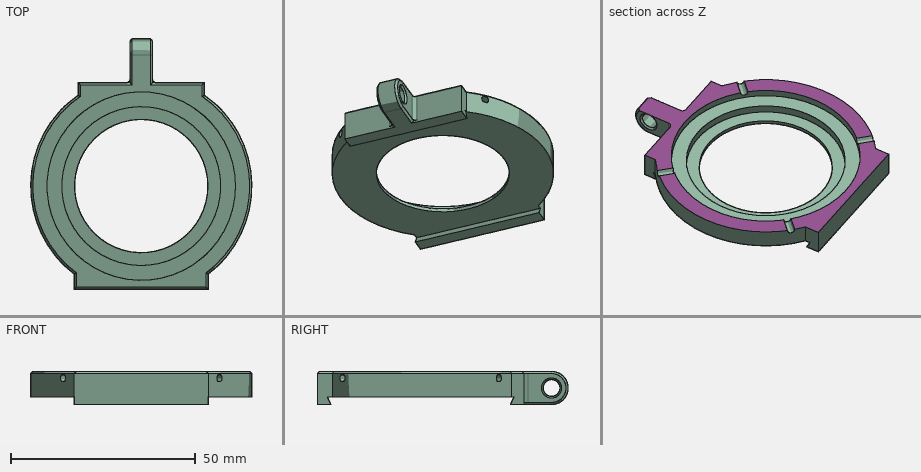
import cadquery as cq
import math

height = 9.0
ring_diameter = 59.9
rail_drop = 2.05
ring_height = height - rail_drop
edge_chamfer = 0.6

upper_bore_diameter = 51.0
upper_bore_depth = 3.75
middle_bore_diameter = 43.0
middle_bore_depth = 2.25
through_diameter = 36.0

block_reach = 28.0
front_block_width = 36.25
rear_block_width = 34.2
rail_lip = 24.25
rail_undercut = 0.95

screw_diameter = 2.0
screw_z = 7.2
first_screw_angle = 45
screw_count = 4

lug_tip = 67.9 - block_reach
lug_width = 6.1
lug_radius = height / 2
lug_center_y = lug_tip - lug_radius
pin_diameter = 4.5
pin_chamfer = 0.5
lug_root_fillet = 1.0


def end_block(width, side):
    """Block from the ring axis to its end face; side is +1 for rear, -1 for front."""
    return (
        cq.Workplane("XY")
        .center(0, side * block_reach / 2)
        .rect(width, block_reach)
        .extrude(height)
    )


def make_body():
    body = cq.Workplane("XY").workplane(offset=rail_drop).circle(ring_diameter / 2).extrude(ring_height)
    flat_limits = cq.Workplane("XY").box(
        ring_diameter, 2 * block_reach, height, centered=(True, True, False)
    )
    body = body.intersect(flat_limits)
    body = body.union(end_block(front_block_width, -1)).union(end_block(rear_block_width, 1)).clean()
    body = body.faces(">Z").edges().chamfer(edge_chamfer)

    channel_root = rail_lip + rail_undercut
    channel = (
        cq.Workplane("YZ")
        .polyline([(-rail_lip, 0), (rail_lip, 0), (channel_root, rail_drop), (-channel_root, rail_drop)])
        .close()
        .extrude(ring_diameter / 2, both=True)
    )
    return body.cut(channel)


def make_lug():
    root_y = block_reach - edge_chamfer
    lug = (
        cq.Workplane("YZ")
        .moveTo(root_y, 0)
        .lineTo(lug_center_y, 0)
        .threePointArc((lug_tip, lug_radius), (lug_center_y, height))
        .lineTo(root_y, height)
        .close()
        .extrude(lug_width / 2, both=True)
    )
    return lug.faces("<X or >X").edges("not(<Y)").chamfer(edge_chamfer)


def root_fillet(side):
    """Concave corner between the rear face and one side of the lug."""
    side_x = side * lug_width / 2
    outer_x = side_x + side * lug_root_fillet
    outer_y = block_reach + lug_root_fillet
    arc_offset = lug_root_fillet * math.sqrt(0.5)
    return (
        cq.Workplane("XY")
        .workplane(offset=edge_chamfer)
        .moveTo(side_x, block_reach)
        .lineTo(outer_x, block_reach)
        .threePointArc((outer_x - side * arc_offset, outer_y - arc_offset), (side_x, outer_y))
        .close()
        .extrude(height - 2 * edge_chamfer)
    )


def cylinder_down(diameter, depth):
    """Cutter on the ring axis, going down from the top face."""
    return cq.Workplane("XY").workplane(offset=height).circle(diameter / 2).extrude(-depth)


def screw_hole(angle):
    return (
        cq.Workplane("YZ")
        .center(0, screw_z)
        .circle(screw_diameter / 2)
        .extrude(ring_diameter / 2)
        .rotate((0, 0, 0), (0, 0, 1), angle)
    )


def pin_hole():
    """Cross hole through the lug, countersunk at both ends."""
    pin_radius = pin_diameter / 2
    mouth_radius = pin_radius + pin_chamfer
    half_width = lug_width / 2
    straight = half_width - pin_chamfer
    profile = [
        (-half_width, 0),
        (-half_width, mouth_radius),
        (-straight, pin_radius),
        (straight, pin_radius),
        (half_width, mouth_radius),
        (half_width, 0),
    ]
    cutter = cq.Workplane("XY").polyline(profile).close().revolve(360, (0, 0, 0), (1, 0, 0))
    return cutter.translate((0, lug_center_y, lug_radius))


result = make_body().union(make_lug())
for side in (-1, 1):
    result = result.union(root_fillet(side))

result = result.cut(cylinder_down(upper_bore_diameter, upper_bore_depth))
result = result.cut(cylinder_down(middle_bore_diameter, upper_bore_depth + middle_bore_depth))
result = result.cut(cylinder_down(through_diameter, height))
for index in range(screw_count):
    result = result.cut(screw_hole(first_screw_angle + index * 360 / screw_count))
result = result.cut(pin_hole())